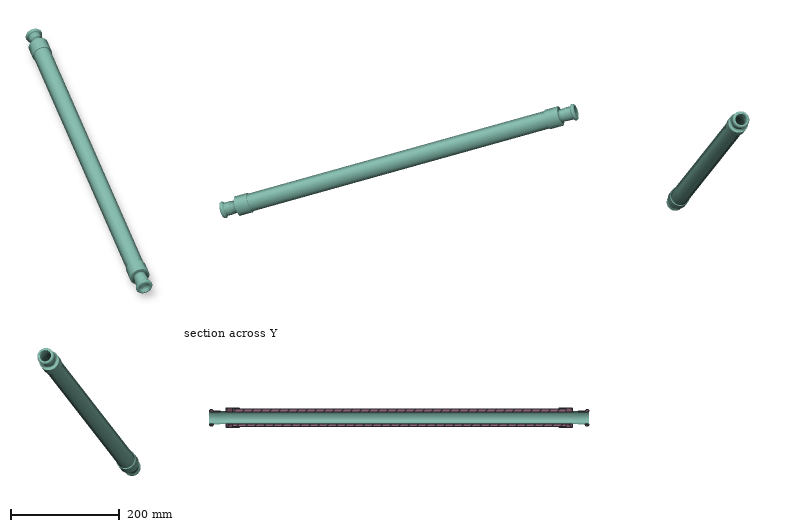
import cadquery as cq

total_length = 700.0

collar_diameter = 37.0
tube_diameter = 33.5
flange_diameter = 31.5
neck_diameter = 25.0
root_diameter = 24.0
bore_diameter = 21.0
mouth_diameter = 22.5

flange_length = 8.0
mouth_depth = 2.0
neck_end = 20.0
collar_start = 31.0
collar_end = 56.0
socket_floor_thickness = 11.0
socket_floor = collar_start + socket_floor_thickness


def make_tube():
    """Straight tube whose ends rest on the floors of the two collar sockets."""
    tube_length = total_length - 2 * socket_floor
    return (
        cq.Workplane("YZ", origin=(-tube_length / 2, 0, 0))
        .circle(tube_diameter / 2)
        .circle(bore_diameter / 2)
        .extrude(tube_length)
    )


def make_fitting():
    """Turned end fitting at the -X end: rounded flange, stepped neck, and collar."""
    turned_profile = (
        cq.Workplane("XY", origin=(-total_length / 2, 0, 0))
        .moveTo(mouth_depth, bore_diameter / 2)
        .lineTo(mouth_depth, mouth_diameter / 2)
        .lineTo(0, mouth_diameter / 2)
        .lineTo(0, neck_diameter / 2)
        .threePointArc((flange_length / 2, flange_diameter / 2), (flange_length, neck_diameter / 2))
        .lineTo(neck_end, neck_diameter / 2)
        .lineTo(neck_end, root_diameter / 2)
        .lineTo(collar_start, root_diameter / 2)
        .lineTo(collar_start, collar_diameter / 2)
        .lineTo(collar_end, collar_diameter / 2)
        .lineTo(collar_end, tube_diameter / 2)
        .lineTo(socket_floor, tube_diameter / 2)
        .lineTo(socket_floor, bore_diameter / 2)
        .close()
    )
    return turned_profile.revolve(360, (0, 0, 0), (1, 0, 0))


tube = make_tube()
fitting = make_fitting()
fittings = [fitting.rotate((0, 0, 0), (0, 0, 1), angle) for angle in (0, 180)]

result = cq.Compound.makeCompound([tube.val(), *[end.val() for end in fittings]])